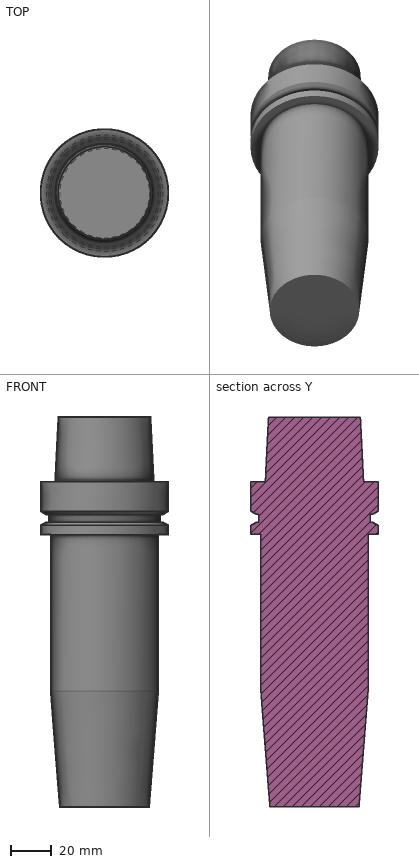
import cadquery as cq
import math

total_length = 191.9

taper_length = 31.9
taper_base_diameter = 48.6
taper_ratio = 1 / 10
taper_top_diameter = taper_base_diameter - taper_ratio * taper_length

flange_diameter = 62.94
flange_width = 26.0
groove_floor_diameter = 54.95
groove_center_depth = 18.0
groove_mouth_width = 7.0
channel_width = 3.75
groove_flank_angle = 30.0

body_diameter = 53.0
nose_tip_diameter = 44.0
nose_half_angle = 4.5

taper_top_radius = taper_top_diameter / 2
taper_base_radius = taper_base_diameter / 2
flange_radius = flange_diameter / 2
groove_floor_radius = groove_floor_diameter / 2
body_radius = body_diameter / 2
nose_tip_radius = nose_tip_diameter / 2

bottom_z = taper_length - total_length
nose_length = (body_radius - nose_tip_radius) / math.tan(math.radians(nose_half_angle))
nose_start_z = bottom_z + nose_length
groove_half_mouth = groove_mouth_width / 2
channel_half_width = channel_width / 2
mouth_top_z = groove_half_mouth - groove_center_depth
channel_top_z = channel_half_width - groove_center_depth
channel_bottom_z = -channel_half_width - groove_center_depth
mouth_bottom_z = -groove_half_mouth - groove_center_depth

flank_height = groove_half_mouth - channel_half_width
flank_end_radius = flange_radius - flank_height / math.tan(math.radians(groove_flank_angle))


def revolve_outline(outline):
    """Turn a closed (radius, height) outline into a solid of revolution."""
    full_turn = 360
    sketch = cq.Workplane("XZ").polyline(outline).close()
    return sketch.revolve(full_turn, (0, 0, 0), (0, 1, 0))


def make_holder_blank():
    """Revolve the ungrooved half outline around the Z axis."""
    outline = [
        (0, taper_length),
        (taper_top_radius, taper_length),
        (taper_base_radius, 0),
        (flange_radius, 0),
        (flange_radius, -flange_width),
        (body_radius, -flange_width),
        (body_radius, nose_start_z),
        (nose_tip_radius, bottom_z),
        (0, bottom_z),
    ]
    return revolve_outline(outline)


def make_gripper_groove():
    """Ring with the stepped section of the gripper groove."""
    outline = [
        (flange_radius, mouth_top_z),
        (flank_end_radius, channel_top_z),
        (groove_floor_radius, channel_top_z),
        (groove_floor_radius, channel_bottom_z),
        (flank_end_radius, channel_bottom_z),
        (flange_radius, mouth_bottom_z),
    ]
    return revolve_outline(outline)


result = make_holder_blank().cut(make_gripper_groove())